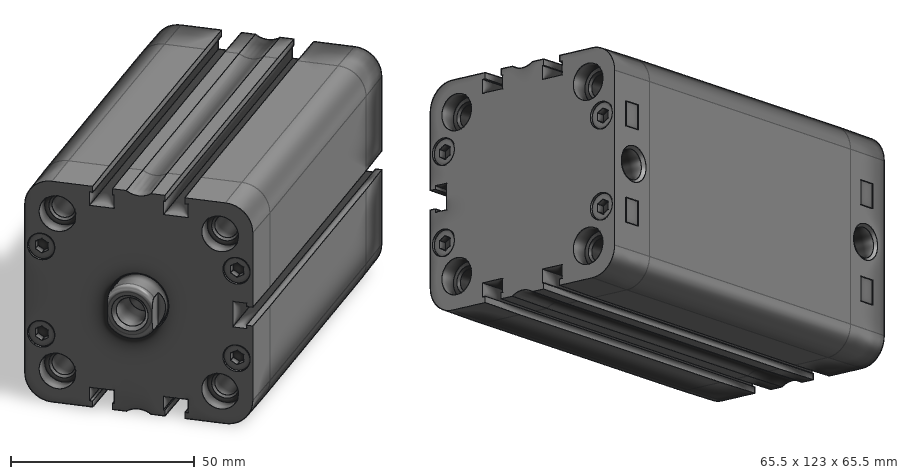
import cadquery as cq
import math


total_length = 123.0
section = 65.5
half = section / 2
corner_radius = 8.0
rod_reach = 8.0
body_length = total_length - rod_reach
cap_length = 14.6
cap_draft_angle = 0.7

slot_depth = 5.9
lip_depth = 2.0
pair_lip_offset = 10.3
pair_lip_width = 5.7
pair_slot_offset = 10.6
pair_slot_width = 7.0
side_lip_width = 5.5
side_slot_width = 7.5

groove_diameter = 12.0
groove_depth = 1.1

mount_offset = 23.2
mount_bore = 6.6
mount_counterbore = 10.5
mount_counterbore_depth = 4.9
mount_mouth = 8.0
mount_mouth_depth = (mount_mouth - mount_bore) / 2

screw_x = 27.9
screw_z = 12.9
screw_recess_diameter = 7.7
screw_head_diameter = 7.5
screw_recess_depth = 0.6
socket_sides = 6
socket_flats = 3.7
socket_depth = 2.5

port_setback = 8.0
port_mouth = 10.5
port_bore = 8.6
port_chamfer = (port_mouth - port_bore) / 2
port_depth = 8.6
air_hole = 3.5
air_hole_shift = 2.2
air_hole_depth = 3.7

panel_setback = 7.5
panel_z = 13.7
panel_width = 5.2
panel_height = 7.0
panel_depth = 0.4

rod_hole_mouth = 17.2
rod_clearance = 16.5
rod_hole_chamfer = (rod_hole_mouth - rod_clearance) / 2
rod_clearance_depth = 3.7

rod_diameter = 16.0
rod_end_fillet = 1.7
rod_flats = 12.8
rod_flat_length = 5.4
rod_flat_runout = (rod_diameter - rod_flats) / 2
thread_mouth = 10.5
thread_bore = 8.4
thread_chamfer = (thread_mouth - thread_bore) / 2
thread_depth = 12.3
thread_tip = 3.5
drill_point_angle = 118
half_point_angle = math.radians(drill_point_angle / 2)
thread_tip_depth = (thread_bore - thread_tip) / 2 / math.tan(half_point_angle)


def section_block(y_start, length, taper):
    """Rounded square with its top and bottom grooves, drawn at y_start and extruded by length along Y."""
    plane = cq.Plane(origin=(0, y_start, 0), xDir=(1, 0, 0), normal=(0, math.copysign(1, length), 0))
    outline = cq.Sketch().rect(section, section).vertices().fillet(corner_radius).reset()
    groove_centre = half - groove_depth + groove_diameter / 2
    outline = outline.push([(0, groove_centre), (0, -groove_centre)])
    outline = outline.circle(groove_diameter / 2, mode="s")
    return cq.Workplane(plane).placeSketch(outline).extrude(abs(length), taper=taper)


def slot_cutter(lip_offset, lip_width, slot_offset, slot_width):
    """T-slot through the whole length of the +X side; lip and wider room have their own Z offsets."""
    slot_height = slot_depth - lip_depth
    lip = cq.Workplane("XY").box(lip_depth * 2, body_length, lip_width)
    slot = cq.Workplane("XY").box(slot_height, body_length, slot_width)
    lip = lip.translate((half, body_length / 2, lip_offset))
    slot = slot.translate((half - slot_depth + slot_height / 2, body_length / 2, slot_offset))
    return lip.union(slot)


def cut_slots(body):
    """Side slot, and a mirrored pair of slots in the top and in the bottom."""
    body = body.cut(slot_cutter(0, side_lip_width, 0, side_slot_width))
    pair_slot = slot_cutter(pair_lip_offset, pair_lip_width, pair_slot_offset, pair_slot_width)
    for pair_cutter in (pair_slot, pair_slot.mirror("XY")):
        for side_angle in (-90, 90):
            body = body.cut(pair_cutter.rotate((0, 0, 0), (0, 1, 0), side_angle))
    return body


def revolved(points):
    """Solid turned about Y from (radius, y) points."""
    return cq.Workplane("XY").polyline(points).close().revolve(360, (0, 0, 0), (0, 1, 0))


def mount_cutter():
    """Counterbored mounting hole from one end to the middle of the body."""
    floor = mount_counterbore_depth
    return revolved([
        (0, 0),
        (mount_counterbore / 2, 0),
        (mount_counterbore / 2, floor),
        (mount_mouth / 2, floor),
        (mount_bore / 2, floor + mount_mouth_depth),
        (mount_bore / 2, body_length / 2),
        (0, body_length / 2),
    ])


def screw_cutter():
    """Space above a sunk screw head, with the hexagon socket in the head."""
    recess = revolved([
        (0, 0),
        (screw_recess_diameter / 2, 0),
        (screw_head_diameter / 2, screw_recess_depth),
        (0, screw_recess_depth),
    ])
    hexagon_diameter = socket_flats / math.cos(math.pi / socket_sides)
    socket_floor = screw_recess_depth + socket_depth
    socket = cq.Workplane("XZ").polygon(socket_sides, hexagon_diameter).extrude(-socket_floor)
    return recess.union(socket.rotate((0, 0, 0), (0, 1, 0), 180 / socket_sides))


def port_cutter():
    """Air port in the -X side near the front end, with a small hole in its floor towards the tube."""
    port = revolved([
        (0, 0),
        (port_mouth / 2, 0),
        (port_bore / 2, port_chamfer),
        (port_bore / 2, port_depth),
        (0, port_depth),
    ])
    passage = cq.Workplane("XZ").circle(air_hole / 2).extrude(-port_depth - air_hole_depth)
    port = port.union(passage.translate((-air_hole_shift, 0, 0)))
    return port.rotate((0, 0, 0), (0, 0, 1), -90).translate((-half, port_setback, 0))


def panel_cutter():
    """Flat label recess in the -X side, level with the rod."""
    panel = cq.Workplane("XY").box(panel_depth * 2, panel_width, panel_height)
    return panel.translate((-half, panel_setback, 0))


def end_cutters():
    """Everything cut from the front end, apart from the rod hole."""
    cutters = [port_cutter()]
    for z_side in (-1, 1):
        cutters.append(panel_cutter().translate((0, 0, z_side * panel_z)))
    for x_side in (-1, 1):
        for z_side in (-1, 1):
            cutters.append(mount_cutter().translate((x_side * mount_offset, 0, z_side * mount_offset)))
            cutters.append(screw_cutter().translate((x_side * screw_x, 0, z_side * screw_z)))
    return cutters


def make_housing():
    """Profiled tube with a drafted cap at each end."""
    tube_end = body_length - cap_length
    body = section_block(cap_length, tube_end - cap_length, 0)
    body = body.union(section_block(cap_length, -cap_length, cap_draft_angle))
    body = body.union(section_block(tube_end, cap_length, cap_draft_angle))

    body = cut_slots(body)
    for cutter in end_cutters():
        body = body.cut(cutter)
        body = body.cut(cutter.mirror("XZ").translate((0, body_length, 0)))

    rod_hole = revolved([
        (0, 0),
        (rod_hole_mouth / 2, 0),
        (rod_clearance / 2, rod_hole_chamfer),
        (rod_clearance / 2, rod_clearance_depth),
        (rod_diameter / 2, rod_clearance_depth),
        (rod_diameter / 2, cap_length),
        (0, cap_length),
    ])
    return body.cut(rod_hole)


def make_rod():
    """Piston rod with a rounded end, two wrench flats and a threaded hole."""
    rod_length = cap_length + rod_reach
    rod = cq.Workplane("XZ").circle(rod_diameter / 2).extrude(rod_length).translate((0, cap_length, 0))
    rod = rod.faces("<Y").edges().fillet(rod_end_fillet)

    flat_end = rod_flat_length - rod_reach
    flat = cq.Workplane("XY").polyline([
        (rod_flats / 2, -rod_reach),
        (rod_flats / 2, flat_end),
        (rod_flats / 2 + rod_flat_runout, flat_end + rod_flat_runout),
        (rod_flats / 2 + rod_flat_runout, -rod_reach),
    ]).close().extrude(rod_diameter / 2, both=True)
    rod = rod.cut(flat).cut(flat.mirror("YZ"))

    thread = revolved([
        (0, 0),
        (thread_mouth / 2, 0),
        (thread_bore / 2, thread_chamfer),
        (thread_bore / 2, thread_depth),
        (thread_tip / 2, thread_depth + thread_tip_depth),
        (0, thread_depth + thread_tip_depth),
    ])
    return rod.cut(thread.translate((0, -rod_reach, 0)))


housing = make_housing()
piston_rod = make_rod()
result = cq.Compound.makeCompound([housing.val(), piston_rod.val()])